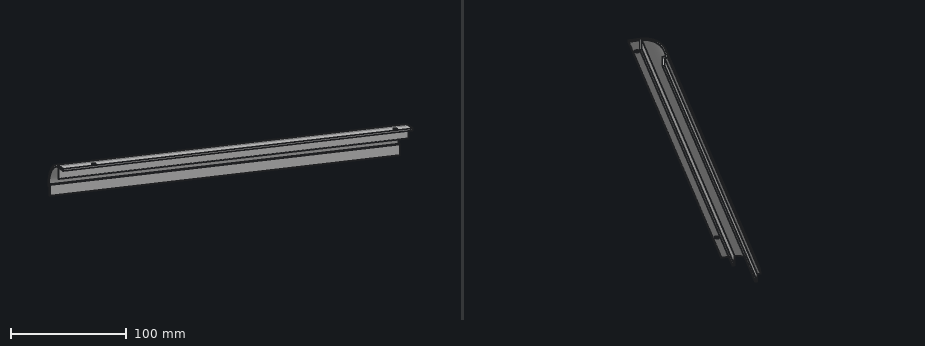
import cadquery as cq
import math

length = 325.5
outer_radius = 25.0
wall = 2.0
flange_width = 10.0
leg_drop = 7.8
leg_offset = 3.0
rib_depth = 12.0
hole_diameter = 3.5
hole_edge_distance = 4.0
back_hole_inset = 15.0
front_hole_inset = 30.0

inner_radius = outer_radius - wall
leg_outer_x = leg_offset - outer_radius
leg_inner_x = leg_outer_x + wall
lip_inner_x = -math.sqrt(inner_radius**2 - wall**2)
outer_mid = outer_radius * math.sqrt(0.5)
inner_mid = inner_radius * math.sqrt(0.5)
rib_tip_z = outer_radius - rib_depth


def make_profile():
    """Quarter-round cover with a flat flange, a rib and a stepped leg."""
    return (
        cq.Workplane("XZ", origin=(0, length / 2, 0))
        .moveTo(-outer_radius, 0)
        .threePointArc((-outer_mid, outer_mid), (0, outer_radius))
        .lineTo(flange_width, outer_radius)
        .lineTo(flange_width, inner_radius)
        .lineTo(0, inner_radius)
        .lineTo(0, rib_tip_z)
        .lineTo(-wall, rib_tip_z)
        .lineTo(-wall, math.sqrt(inner_radius**2 - wall**2))
        .threePointArc((-inner_mid, inner_mid), (lip_inner_x, wall))
        .lineTo(leg_inner_x, wall)
        .lineTo(leg_inner_x, -leg_drop)
        .lineTo(leg_outer_x, -leg_drop)
        .lineTo(leg_outer_x, 0)
        .close()
        .extrude(length)
    )


def make_flange_holes():
    """Cutters for the two mounting holes through the flange."""
    hole_x = flange_width - hole_edge_distance
    hole_places = [
        (hole_x, length / 2 - back_hole_inset),
        (hole_x, front_hole_inset - length / 2),
    ]
    return (
        cq.Workplane("XY")
        .pushPoints(hole_places)
        .circle(hole_diameter / 2)
        .extrude(outer_radius + wall)
    )


result = make_profile().cut(make_flange_holes())